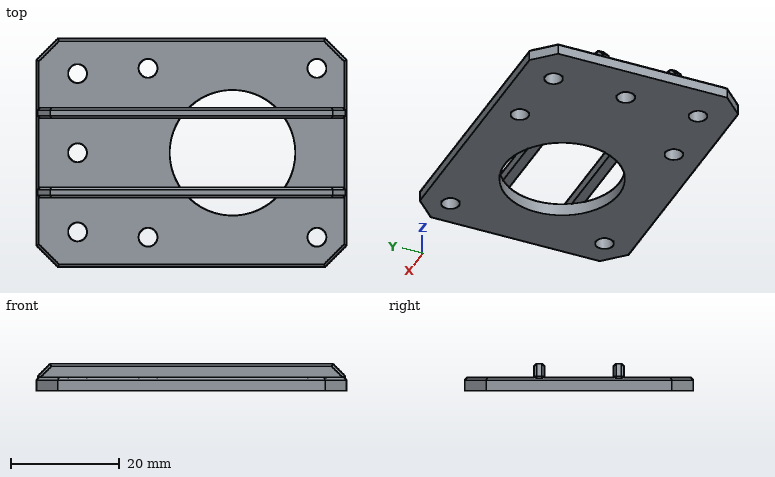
import cadquery as cq

length = 57.0
width = 42.0
total_height = 5.0
plate_thickness = 2.5
corner_cut = 4.0
edge_chamfer = 0.5

rib_width = 2.0
rib_offset = 7.3
rib_end_inset = 0.3
rib_top_inset = 2.55

opening_diameter = 23.0
opening_x = 7.5
motor_hole_offset = 15.5

hole_diameter = 3.4
mount_row_x = -20.9
mount_hole_spacing = 14.55


def make_plate():
    """Rectangular plate with cut corners and a chamfered upper rim."""
    plate = cq.Workplane("XY").rect(length, width).extrude(plate_thickness)
    plate = plate.edges("|Z").chamfer(corner_cut)
    return plate.faces(">Z").edges().chamfer(edge_chamfer)


def make_holes():
    """Cutters for the opening and all screw holes, as tall as the plate."""
    motor_holes = [
        (opening_x + sx * motor_hole_offset, sy * motor_hole_offset)
        for sx in (-1, 1)
        for sy in (-1, 1)
    ]
    mount_holes = [(mount_row_x, row * mount_hole_spacing) for row in (-1, 0, 1)]
    opening = cq.Workplane("XY").center(opening_x, 0).circle(opening_diameter / 2)
    screws = cq.Workplane("XY").pushPoints(motor_holes + mount_holes).circle(hole_diameter / 2)
    return opening.extrude(plate_thickness).union(screws.extrude(plate_thickness))


def make_rib(y):
    """Rib with 45 degree sloped ends and chamfered long edges, rooted in the plate."""
    root_z = plate_thickness - edge_chamfer
    end_x = length / 2 - rib_end_inset
    top_x = length / 2 - rib_top_inset
    slope_start_z = total_height - (end_x - top_x)
    rib = (
        cq.Workplane("XZ", origin=(0, y, 0))
        .moveTo(-end_x, root_z)
        .lineTo(end_x, root_z)
        .lineTo(end_x, slope_start_z)
        .lineTo(top_x, total_height)
        .lineTo(-top_x, total_height)
        .lineTo(-end_x, slope_start_z)
        .close()
        .extrude(rib_width / 2, both=True)
    )
    rim = rib.faces("<Y or >Y").edges().edges("not(<Z)")
    return rim.chamfer(edge_chamfer)


result = make_plate()
for side in (-1, 1):
    result = result.union(make_rib(side * rib_offset))

result = result.cut(make_holes())